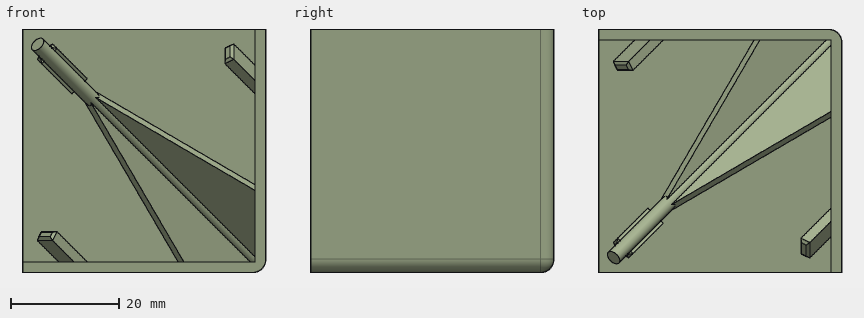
import cadquery as cq
import math

SIZE = 45.0
WALL = 2.0
OUTER_FILLET = 2.5

ROD_DIAMETER = 2.8
ROD_LENGTH = 69.65

FIN_THICKNESS = 1.5
FIN_FOOT_RADIUS = 11.2
FIN_EDGE_ANGLE = 15.2

PEG_WIDTH = 4.0
PEG_DEPTH = 2.0
PEG_CHAMFER = 0.5
PEG_RADIUS = 27.5
PEG_TIP_HEIGHT = 47.65

WALL_SLOPE = math.sqrt(2)

ROD_AXIS = cq.Vector(-1, -1, 1)
WALL_DIRECTIONS = [
    cq.Vector(-1, -1, -2),
    cq.Vector(2, -1, 1),
    cq.Vector(-1, 2, 1),
]


def make_walls():
    """Three square walls meeting in a corner, with the outer edges rounded."""
    inner = SIZE - WALL
    outer_block = (
        cq.Workplane("XY")
        .box(SIZE, SIZE, SIZE, centered=False)
        .translate((-inner, -inner, -WALL))
        .edges("(>X and >Y) or (>X and <Z) or (>Y and <Z)")
        .fillet(OUTER_FILLET)
    )
    cavity = (
        cq.Workplane("XY")
        .box(SIZE, SIZE, SIZE, centered=False)
        .translate((-SIZE, -SIZE, 0))
    )
    return outer_block.cut(cavity)


def make_rod():
    """Round rod standing in the corner along the diagonal."""
    base = cq.Plane(origin=(0, 0, 0), normal=ROD_AXIS)
    return cq.Workplane(base).circle(ROD_DIAMETER / 2).extrude(ROD_LENGTH)


def make_fin(direction):
    """Triangle in the plane of the rod axis and one wall direction."""
    foot_height = WALL_SLOPE * FIN_FOOT_RADIUS
    apex_height = foot_height + FIN_FOOT_RADIUS / math.tan(math.radians(FIN_EDGE_ANGLE))
    plane = cq.Plane(origin=(0, 0, 0), xDir=direction, normal=direction.cross(ROD_AXIS))
    return (
        cq.Workplane(plane)
        .polyline([(0, 0), (FIN_FOOT_RADIUS, foot_height), (0, apex_height)])
        .close()
        .extrude(FIN_THICKNESS / 2, both=True)
    )


def make_peg(direction):
    """Peg with a chamfered tip, rooted half way through its wall."""
    root_height = WALL_SLOPE * PEG_RADIUS - math.sqrt(3) * WALL / 2
    root = direction.normalized() * PEG_RADIUS + ROD_AXIS.normalized() * root_height
    return (
        cq.Workplane(cq.Plane(origin=root, xDir=direction, normal=ROD_AXIS))
        .rect(PEG_DEPTH, PEG_WIDTH)
        .extrude(PEG_TIP_HEIGHT - root_height)
        .faces(cq.selectors.DirectionMinMaxSelector(ROD_AXIS))
        .chamfer(PEG_CHAMFER)
    )


result = make_walls().union(make_rod())
for wall_direction in WALL_DIRECTIONS:
    result = result.union(make_fin(wall_direction))
    result = result.union(make_peg(wall_direction))